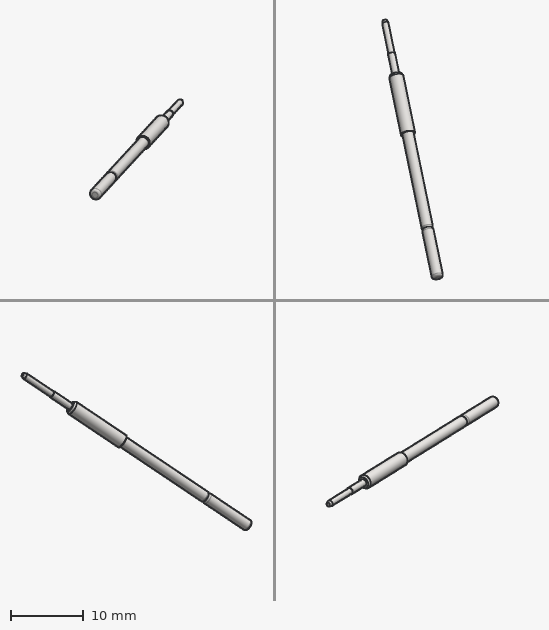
import cadquery as cq
import math

total_length = 39.3
rear_y = -total_length / 2
tip_y = total_length / 2

barrel_diameter = 1.6
sleeve_diameter = 2.0
collar_diameter = 1.02
plunger_diameter = 0.9

plunger_length = 5.1
collar_length = 3.2
sleeve_length = 9.0
groove_from_tip = 31.8

tip_bevel_length = 0.45
tip_bevel_inset = 0.15
sleeve_bevel_length = 0.35
sleeve_bevel_inset = 0.2
rear_round = 0.4
groove_width = 0.6
groove_depth = 0.1

collar_front_y = tip_y - plunger_length
sleeve_front_y = collar_front_y - collar_length
sleeve_rear_y = sleeve_front_y - sleeve_length
groove_y = tip_y - groove_from_tip

barrel_radius = barrel_diameter / 2
sleeve_radius = sleeve_diameter / 2
collar_radius = collar_diameter / 2
plunger_radius = plunger_diameter / 2


def bevel_corner(outline, radius, end_y, length, inset):
    """Run along a cylinder side toward +Y and taper it in to its end face."""
    return outline.lineTo(radius, end_y - length).lineTo(radius - inset, end_y)


rear_offset = rear_round * (1 - math.sqrt(0.5))
outline = (
    cq.Workplane("XY")
    .moveTo(0, rear_y)
    .lineTo(barrel_radius - rear_round, rear_y)
    .threePointArc(
        (barrel_radius - rear_offset, rear_y + rear_offset),
        (barrel_radius, rear_y + rear_round),
    )
)

groove_half_width = groove_width / 2
shoulder_radius = (groove_half_width**2 + groove_depth**2) / (2 * groove_depth)
half_angle = math.asin(groove_half_width / shoulder_radius) / 2
shoulder_middle_radius = barrel_radius - shoulder_radius * (1 - math.cos(half_angle))
shoulder_middle_offset = groove_half_width - shoulder_radius * math.sin(half_angle)
outline = (
    outline.lineTo(barrel_radius, groove_y - groove_half_width)
    .threePointArc(
        (shoulder_middle_radius, groove_y - shoulder_middle_offset),
        (barrel_radius - groove_depth, groove_y),
    )
    .threePointArc(
        (shoulder_middle_radius, groove_y + shoulder_middle_offset),
        (barrel_radius, groove_y + groove_half_width),
    )
)

outline = outline.lineTo(barrel_radius, sleeve_rear_y).lineTo(sleeve_radius, sleeve_rear_y)
outline = bevel_corner(outline, sleeve_radius, sleeve_front_y, sleeve_bevel_length, sleeve_bevel_inset)
outline = outline.lineTo(collar_radius, sleeve_front_y).lineTo(collar_radius, collar_front_y)
outline = outline.lineTo(plunger_radius, collar_front_y)
outline = bevel_corner(outline, plunger_radius, tip_y, tip_bevel_length, tip_bevel_inset)
outline = outline.lineTo(0, tip_y).close()

result = outline.revolve(360, (0, 0, 0), (0, 1, 0))